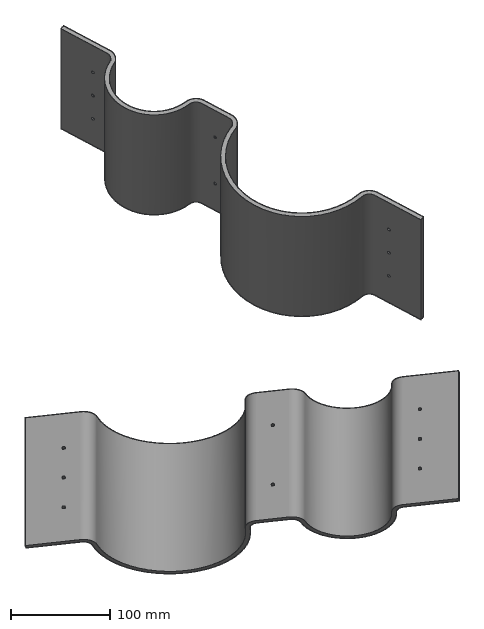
import cadquery as cq
import math

length = 446.0
height = 150.0
thickness = 5.0

small_radius = 50.0
large_radius = 81.5
bend_radius = 9.5
end_flange = 57.0

hole_diameter = 3.0
hole_edge_distance = 39.5
hole_pitch = 35.0

saddle_y = -thickness
bend_y = -thickness - bend_radius
outer_bend_radius = bend_radius + thickness


def saddle_half_width(radius):
    """Distance from saddle axis to bend axis that makes the arcs tangent."""
    return math.sqrt((radius + bend_radius) ** 2 - bend_radius**2)


small_half = saddle_half_width(small_radius)
large_half = saddle_half_width(large_radius)
small_x = end_flange + small_half
large_x = length - end_flange - large_half
middle_x = (small_x + small_half + large_x - large_half) / 2


def saddle_arcs(path, center_x, radius, bend, direction):
    """Add bend, saddle and bend arcs; direction is +1 toward +X, -1 toward -X."""
    half = saddle_half_width(radius)
    tangent_angle = math.atan2(saddle_y - bend_y, half)
    mid_angle = (math.pi / 2 + tangent_angle) / 2
    surface_radius = radius + bend_radius - bend

    def bend_point(side, angle):
        return (
            center_x + side * (half - bend * math.cos(angle)),
            bend_y + bend * math.sin(angle),
        )

    entry = -direction
    leave = direction
    path = path.lineTo(center_x + entry * half, bend_y + bend)
    path = path.threePointArc(bend_point(entry, mid_angle), bend_point(entry, tangent_angle))
    path = path.threePointArc((center_x, saddle_y - surface_radius), bend_point(leave, tangent_angle))
    return path.threePointArc(bend_point(leave, mid_angle), (center_x + leave * half, bend_y + bend))


def make_strip():
    """Extrude the closed profile: back surface out, front surface home."""
    path = cq.Workplane("XY").moveTo(0, 0)
    path = saddle_arcs(path, small_x, small_radius, outer_bend_radius, 1)
    path = saddle_arcs(path, large_x, large_radius, outer_bend_radius, 1)
    path = path.lineTo(length, 0).lineTo(length, -thickness)
    path = saddle_arcs(path, large_x, large_radius, bend_radius, -1)
    path = saddle_arcs(path, small_x, small_radius, bend_radius, -1)
    return path.lineTo(0, -thickness).close().extrude(height)


def make_holes():
    """Three holes in each end flange and two in the middle flange."""
    points = []
    for offset in (-hole_pitch, 0, hole_pitch):
        z = height / 2 + offset
        points.append((hole_edge_distance, z))
        points.append((length - hole_edge_distance, z))
        if offset != 0:
            points.append((middle_x, z))
    return cq.Workplane("XZ").pushPoints(points).circle(hole_diameter / 2).extrude(thickness)


result = make_strip().cut(make_holes())